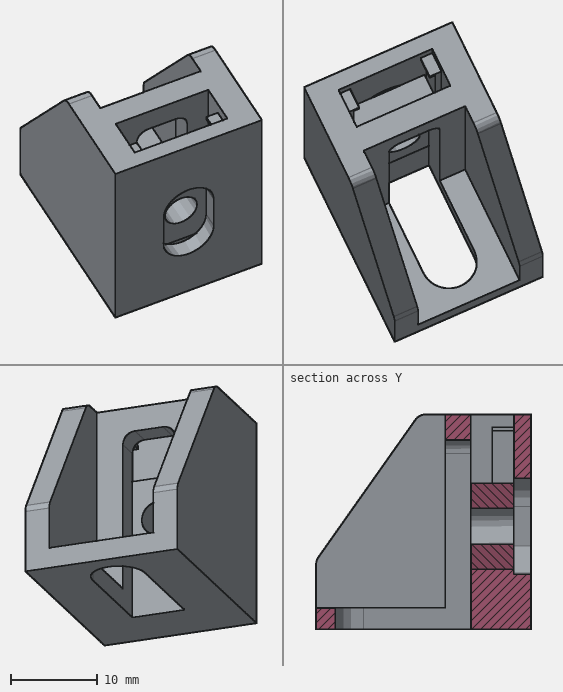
import cadquery as cq

LENGTH = 25.0
WIDTH = 19.0
HEIGHT = 25.0
SIDE_WALL = 3.0
BASE_THICKNESS = 2.5
SLOPE_START_Z = 8.0
SLOPE_END_X = 12.0
CORNER_RADIUS = 1.5

FRONT_WALL_X = 15.0
POCKET_X = 18.0
POCKET_LENGTH = 5.0
POCKET_WIDTH = 12.0
POCKET_FLOOR_Z = 7.0
POCKET_END_X = POCKET_X + POCKET_LENGTH

RAIL_LENGTH = POCKET_LENGTH / 2
RAIL_THICKNESS = 0.8
HOOK_REACH = 1.5
HOOK_HEIGHT = 0.4
HOOK_TOP_Z = 23.5

SLOT_WIDTH = 6.5
BASE_SLOT_START_X = 2.25
FRONT_SLOT_TOP_Z = 22.0
FRONT_SLOT_RADIUS = 1.5
BACK_SLOT_TOP_Z = 17.55

NUT_SIZE = 10.0
NUT_HOLE_DIAMETER = 4.15
NUT_CENTER_Z = POCKET_FLOOR_Z + NUT_SIZE / 2


def box(x, z, length, width, height, y=0.0):
    """Box with its low X and low Z faces at x and z, centred on y."""
    return (
        cq.Workplane("XY")
        .box(length, width, height, centered=(False, True, False))
        .translate((x, y, z))
    )


def make_blank():
    """Side profile with both ends of the slope rounded."""
    blank = (
        cq.Workplane("XZ")
        .moveTo(0, 0)
        .lineTo(LENGTH, 0)
        .lineTo(LENGTH, HEIGHT)
        .lineTo(SLOPE_END_X, HEIGHT)
        .lineTo(0, SLOPE_START_Z)
        .close()
        .extrude(WIDTH / 2, both=True)
    )
    slope_ends = cq.selectors.BoxSelector(
        (-0.25, -WIDTH, SLOPE_START_Z - 0.25), (SLOPE_END_X + 0.25, WIDTH, HEIGHT + 0.25)
    )
    return blank.edges("|Y").edges(slope_ends).fillet(CORNER_RADIUS)


def make_base_slot():
    """Slot through the base, round at the open end and square at the pocket."""
    radius = SLOT_WIDTH / 2
    round_x = BASE_SLOT_START_X + radius
    return (
        cq.Workplane("XY")
        .moveTo(round_x, -radius)
        .lineTo(POCKET_X, -radius)
        .lineTo(POCKET_X, radius)
        .lineTo(round_x, radius)
        .threePointArc((BASE_SLOT_START_X, 0), (round_x, -radius))
        .close()
        .extrude(BASE_THICKNESS)
    )


def make_front_slot():
    """Slot from the base to near the top, opening into the pocket."""
    slot = box(
        FRONT_WALL_X, BASE_THICKNESS,
        POCKET_X - FRONT_WALL_X, SLOT_WIDTH, FRONT_SLOT_TOP_Z - BASE_THICKNESS,
    )
    return slot.edges("|X and >Z").fillet(FRONT_SLOT_RADIUS)


def make_back_slot():
    """Round-ended slot through the back wall, centred on the nut."""
    slot_length = 2 * (BACK_SLOT_TOP_Z - NUT_CENTER_Z)
    return (
        cq.Workplane("YZ", origin=(POCKET_END_X, 0, NUT_CENTER_Z))
        .slot2D(slot_length, SLOT_WIDTH, 90)
        .extrude(LENGTH - POCKET_END_X)
    )


def make_rail(side):
    """Hooked rail on one end wall of the pocket; side is -1 or 1."""
    wall_y = side * POCKET_WIDTH / 2
    rail_x = POCKET_END_X - RAIL_LENGTH
    rail = box(
        rail_x, POCKET_FLOOR_Z, RAIL_LENGTH, RAIL_THICKNESS, HOOK_TOP_Z - POCKET_FLOOR_Z,
        y=wall_y - side * RAIL_THICKNESS / 2,
    )
    hook = box(
        rail_x, HOOK_TOP_Z - HOOK_HEIGHT, RAIL_LENGTH, HOOK_REACH, HOOK_HEIGHT,
        y=wall_y - side * HOOK_REACH / 2,
    )
    return rail.union(hook)


def make_bracket():
    channel = box(0, BASE_THICKNESS, FRONT_WALL_X, WIDTH - 2 * SIDE_WALL, HEIGHT)
    pocket = box(
        POCKET_X, POCKET_FLOOR_Z, POCKET_LENGTH, POCKET_WIDTH, HEIGHT - POCKET_FLOOR_Z
    )
    bracket = make_blank().cut(channel).cut(pocket)
    for side in (-1, 1):
        bracket = bracket.union(make_rail(side))
    return bracket.cut(make_base_slot()).cut(make_front_slot()).cut(make_back_slot())


def make_nut():
    """Square nut standing on the pocket floor between the rails."""
    nut = box(POCKET_X, POCKET_FLOOR_Z, POCKET_LENGTH, NUT_SIZE, NUT_SIZE)
    hole = (
        cq.Workplane("YZ", origin=(POCKET_X, 0, NUT_CENTER_Z))
        .circle(NUT_HOLE_DIAMETER / 2)
        .extrude(POCKET_LENGTH)
    )
    return nut.cut(hole)


bracket = make_bracket()
nut = make_nut()
result = cq.Compound.makeCompound([bracket.val(), nut.val()])